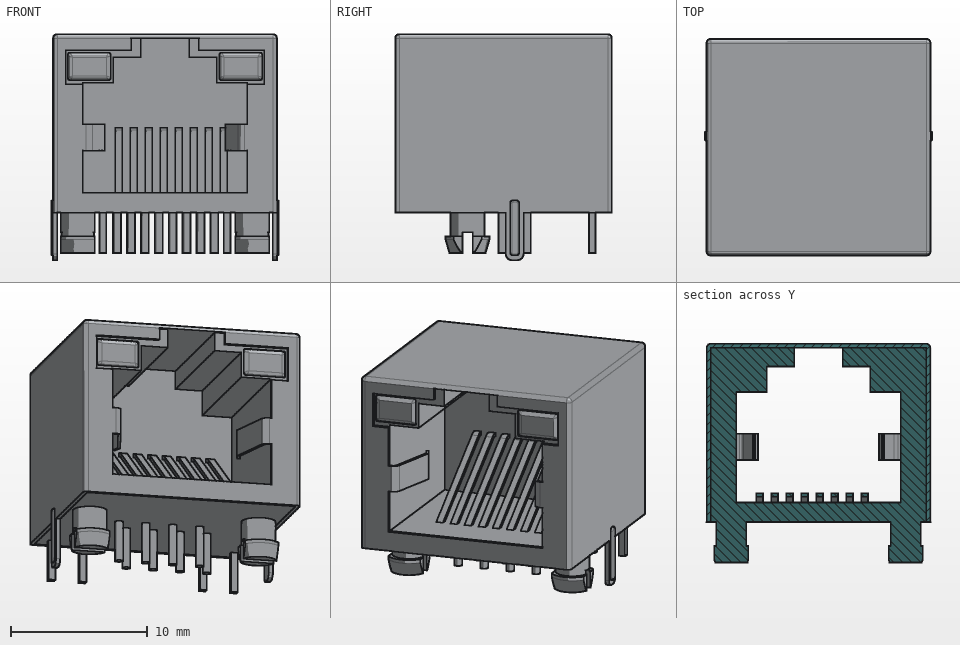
import cadquery as cq
import math


WIDTH = 16.38
DEPTH = 15.85
HEIGHT = 13.05
SHEET = 0.32
EDGE_RADIUS = 0.32

FLOOR_Z = 1.45
PORT_HALF_WIDTH = 6.01
WINDOW_HALF_WIDTH = 7.25
WINDOW_BOTTOM_Z = 9.37
WINDOW_TOP_Z = 11.87
LATCH_HALF_WIDTH = 2.48

CAVITY_DEPTH = 11.65
CAVITY_SHOULDER_Z = 9.5
CAVITY_SHOULDER_HALF_WIDTH = 3.78
CAVITY_STEP_Z = 11.37
CAVITY_STEP_HALF_WIDTH = 1.76

SPRING_BOTTOM_Z = 4.53
SPRING_TOP_Z = 6.48
SPRING_THICKNESS = 0.2
SPRING_LIP = 0.2
SPRING_BEND_RADIUS = 0.52
SPRING_ANGLE = 14.0
SPRING_TIP_ANGLE = 20.0
SPRING_LENGTH = 3.8
SPRING_TIP_LENGTH = 0.72
SPRING_FOLD_RADIUS = 0.13

TAB_WIDTH = 1.33
TAB_LENGTH = 3.5
TAB_Y = 0.82
TAB_CORNER_RADIUS = 0.5
RIB_WIDTH = 0.67
RIB_HEIGHT = 0.13
RIB_BOTTOM_Z = -3.13
RIB_TOP_Z = 0.9
RIB_CORNER_RADIUS = 0.23
RIB_ROUND = 0.12

LENS_WIDTH = 3.13
LENS_HEIGHT = 2.0
LENS_X = 5.55
LENS_Z = 10.69
LENS_PROTRUSION = 0.15
LENS_CORNER_RADIUS = 0.15
LENS_ROUND = 0.32
LENS_SEAT = 0.03

CONTACT_COUNT = 8
CONTACT_WIDTH = 0.52
CONTACT_PITCH = 1.1
CONTACT_MIDDLE_X = 0.47
CONTACT_FRONT_DEPTH = 3.63
CONTACT_TOP_Z = 6.21
CONTACT_SLOPE = 31.9
CONTACT_BEND_RADIUS = 1.0
CONTACT_THICKNESS = 0.25

PIN_LENGTH = 2.96
ROUND_PIN_DIAMETER = 0.6
ROUND_PIN_PITCH = 1.02
ROUND_PIN_MIDDLE_X = 0.05
ROUND_PIN_ROWS_Y = (-0.1, 1.7)
SQUARE_PIN_SIDE = 0.5
SQUARE_PIN_INNER_X = 4.55
SQUARE_PIN_OUTER_X = 6.9
SQUARE_PIN_Y = 6.5

PEG_DIAMETER = 2.5
PEG_X = 6.38
PEG_Y = -2.63
BARB_TOP_DIAMETER = 3.23
BARB_END_DIAMETER = 2.65
BARB_TOP_Z = -1.73
BARB_TAPER_Z = -1.96
PEG_SLOT_WIDTH = 0.73
PEG_SLOT_TOP_Z = -1.45

FRONT_Y = -DEPTH / 2
INSERT_FRONT_Y = FRONT_Y + SHEET
INSERT_TOP_Z = HEIGHT - SHEET
SPRING_MIDDLE_Z = (SPRING_BOTTOM_Z + SPRING_TOP_Z) / 2
LENS_FRONT_Y = INSERT_FRONT_Y - LENS_PROTRUSION
CAVITY_BACK_Y = FRONT_Y + CAVITY_DEPTH


def block(x_min, x_max, y_min, y_max, z_min, z_max):
    """Box between two opposite corners."""
    size = (x_max - x_min, y_max - y_min, z_max - z_min)
    return cq.Workplane("XY").box(*size, centered=False).translate((x_min, y_min, z_min))


def centred_block(half_width, y_min, y_max, z_min, z_max):
    """Box that is symmetric about X = 0."""
    return block(-half_width, half_width, y_min, y_max, z_min, z_max)


def mirrored_x(body):
    """Copy on the other side of X = 0."""
    return body.mirror("YZ")


def make_insert_envelope():
    """Space inside the shield, open towards the board."""
    return centred_block(WIDTH / 2 - SHEET, INSERT_FRONT_Y, -INSERT_FRONT_Y, 0, INSERT_TOP_Z)


def make_front_opening():
    """Port, lens windows and latch notch through the front sheet."""
    port = centred_block(PORT_HALF_WIDTH, FRONT_Y, INSERT_FRONT_Y, FLOOR_Z, WINDOW_TOP_Z)
    windows = centred_block(WINDOW_HALF_WIDTH, FRONT_Y, INSERT_FRONT_Y, WINDOW_BOTTOM_Z, WINDOW_TOP_Z)
    latch = centred_block(LATCH_HALF_WIDTH, FRONT_Y, INSERT_FRONT_Y, WINDOW_TOP_Z, INSERT_TOP_Z)
    return port.union(windows).union(latch)


def make_spring():
    """Right spring: bent back from the port edge, leaning inwards, with its tip turned outwards."""
    lean = math.radians(SPRING_ANGLE)
    tip_lean = math.radians(SPRING_TIP_ANGLE)
    inner_radius = SPRING_BEND_RADIUS - SPRING_THICKNESS
    bend_x = PORT_HALF_WIDTH - SPRING_LIP
    bend_y = FRONT_Y + SPRING_BEND_RADIUS

    def on_bend(radius, angle):
        return (bend_x - radius * math.cos(angle), bend_y - radius * math.sin(angle))

    def moved(point, length, angle):
        return (point[0] - length * math.sin(angle), point[1] + length * math.cos(angle))

    middle = (lean + math.pi / 2) / 2
    face_bend_end = on_bend(SPRING_BEND_RADIUS, lean)
    back_bend_end = on_bend(inner_radius, lean)
    fold_shift = SPRING_THICKNESS * math.tan((lean + tip_lean) / 2)
    face_fold = moved(face_bend_end, SPRING_LENGTH, lean)
    back_fold = moved(back_bend_end, SPRING_LENGTH - fold_shift, lean)
    face_tip = moved(face_fold, SPRING_TIP_LENGTH, -tip_lean)
    back_tip = moved(back_fold, SPRING_TIP_LENGTH - fold_shift, -tip_lean)
    spring = (
        cq.Workplane("XY", origin=(0, 0, SPRING_BOTTOM_Z))
        .moveTo(PORT_HALF_WIDTH, FRONT_Y)
        .lineTo(bend_x, FRONT_Y)
        .threePointArc(on_bend(SPRING_BEND_RADIUS, middle), face_bend_end)
        .lineTo(*face_fold)
        .lineTo(*face_tip)
        .lineTo(*back_tip)
        .lineTo(*back_fold)
        .lineTo(*back_bend_end)
        .threePointArc(on_bend(inner_radius, middle), (bend_x, FRONT_Y + SPRING_THICKNESS))
        .lineTo(PORT_HALF_WIDTH, FRONT_Y + SPRING_THICKNESS)
        .close()
        .extrude(SPRING_TOP_Z - SPRING_BOTTOM_Z)
    )
    face_edge = cq.selectors.NearestToPointSelector((*face_fold, SPRING_MIDDLE_Z))
    back_edge = cq.selectors.NearestToPointSelector((*back_fold, SPRING_MIDDLE_Z))
    spring = spring.edges(face_edge).fillet(SPRING_FOLD_RADIUS + SPRING_THICKNESS)
    return spring.edges(back_edge).fillet(SPRING_FOLD_RADIUS)


def make_tab():
    """Right board tab with a raised rib that starts on the shield wall."""
    outer_x = WIDTH / 2
    half_tab = TAB_WIDTH / 2
    half_rib = RIB_WIDTH / 2
    tab = block(outer_x - SHEET, outer_x, TAB_Y - half_tab, TAB_Y + half_tab, -TAB_LENGTH, 0)
    tab = tab.edges("|X and <Z").fillet(TAB_CORNER_RADIUS)
    rib = block(outer_x, outer_x + RIB_HEIGHT, TAB_Y - half_rib, TAB_Y + half_rib, RIB_BOTTOM_Z, RIB_TOP_Z)
    rib = rib.edges("|X").fillet(RIB_CORNER_RADIUS).faces(">X").edges().fillet(RIB_ROUND)
    return tab.union(rib)


def make_shield():
    shield = centred_block(WIDTH / 2, FRONT_Y, -FRONT_Y, 0, HEIGHT)
    shield = shield.edges("|Z or >Z").fillet(EDGE_RADIUS)
    shield = shield.cut(make_insert_envelope()).cut(make_front_opening())
    for part in (make_spring(), make_tab()):
        shield = shield.union(part).union(mirrored_x(part))
    return shield


def make_cavity():
    """Stepped plug cavity, narrowing upwards to the latch slot."""
    port = centred_block(PORT_HALF_WIDTH, INSERT_FRONT_Y, CAVITY_BACK_Y, FLOOR_Z, CAVITY_SHOULDER_Z)
    shoulder = centred_block(
        CAVITY_SHOULDER_HALF_WIDTH, INSERT_FRONT_Y, CAVITY_BACK_Y, CAVITY_SHOULDER_Z, CAVITY_STEP_Z
    )
    latch = centred_block(CAVITY_STEP_HALF_WIDTH, INSERT_FRONT_Y, CAVITY_BACK_Y, CAVITY_STEP_Z, INSERT_TOP_Z)
    return port.union(shoulder).union(latch)


def make_lens_block(front_y):
    """Right lens outline with rounded corners, from front_y back to the floor of its pocket."""
    lens = block(
        LENS_X - LENS_WIDTH / 2,
        LENS_X + LENS_WIDTH / 2,
        front_y,
        LENS_FRONT_Y + LENS_ROUND + LENS_SEAT,
        LENS_Z - LENS_HEIGHT / 2,
        LENS_Z + LENS_HEIGHT / 2,
    )
    return lens.edges("|Y").fillet(LENS_CORNER_RADIUS)


def make_lens_pocket():
    """Right pocket in the insert that leaves a groove around the rounded lens edge."""
    return make_lens_block(INSERT_FRONT_Y)


def make_lens():
    """Right indicator lens, standing in its pocket and proud of the insert."""
    return make_lens_block(LENS_FRONT_Y).faces("<Y").edges().fillet(LENS_ROUND)


def make_contact(x):
    """Strip that slopes up from the cavity floor and bends level to enter the back wall."""
    slope = math.radians(CONTACT_SLOPE)
    front_y = FRONT_Y + CONTACT_FRONT_DEPTH
    bend_z = CONTACT_TOP_Z - CONTACT_BEND_RADIUS
    inner_radius = CONTACT_BEND_RADIUS - CONTACT_THICKNESS
    slope_rise = bend_z + CONTACT_BEND_RADIUS * math.cos(slope) - FLOOR_Z
    bend_y = front_y + slope_rise / math.tan(slope) + CONTACT_BEND_RADIUS * math.sin(slope)

    def on_bend(radius, angle):
        return (bend_y - radius * math.sin(angle), bend_z + radius * math.cos(angle))

    return (
        cq.Workplane("YZ", origin=(x - CONTACT_WIDTH / 2, 0, 0))
        .moveTo(front_y, FLOOR_Z)
        .lineTo(*on_bend(CONTACT_BEND_RADIUS, slope))
        .threePointArc(on_bend(CONTACT_BEND_RADIUS, slope / 2), (bend_y, CONTACT_TOP_Z))
        .lineTo(CAVITY_BACK_Y, CONTACT_TOP_Z)
        .lineTo(CAVITY_BACK_Y, CONTACT_TOP_Z - CONTACT_THICKNESS)
        .lineTo(bend_y, CONTACT_TOP_Z - CONTACT_THICKNESS)
        .threePointArc(on_bend(inner_radius, slope / 2), on_bend(inner_radius, slope))
        .lineTo(front_y + CONTACT_THICKNESS / math.sin(slope), FLOOR_Z)
        .close()
        .extrude(CONTACT_WIDTH)
    )


def make_round_pin(x, y):
    return cq.Workplane("XY").center(x, y).circle(ROUND_PIN_DIAMETER / 2).extrude(-PIN_LENGTH)


def make_square_pin(x, y):
    return cq.Workplane("XY").center(x, y).rect(SQUARE_PIN_SIDE, SQUARE_PIN_SIDE).extrude(-PIN_LENGTH)


def make_peg():
    """Right snap peg: a turned profile with flat sides and a slot along X."""
    peg = (
        cq.Workplane("XZ")
        .lineTo(PEG_DIAMETER / 2, 0)
        .lineTo(PEG_DIAMETER / 2, BARB_TOP_Z)
        .lineTo(BARB_TOP_DIAMETER / 2, BARB_TOP_Z)
        .lineTo(BARB_TOP_DIAMETER / 2, BARB_TAPER_Z)
        .lineTo(BARB_END_DIAMETER / 2, -PIN_LENGTH)
        .lineTo(0, -PIN_LENGTH)
        .close()
        .revolve(360, (0, 0, 0), (0, 1, 0))
    )
    flats = centred_block(PEG_DIAMETER / 2, -BARB_TOP_DIAMETER, BARB_TOP_DIAMETER, -PIN_LENGTH, 0)
    slot = centred_block(
        BARB_TOP_DIAMETER, -PEG_SLOT_WIDTH / 2, PEG_SLOT_WIDTH / 2, -PIN_LENGTH, PEG_SLOT_TOP_Z
    )
    return peg.intersect(flats).cut(slot).translate((PEG_X, PEG_Y, 0))


def make_insert():
    lens_pocket = make_lens_pocket()
    insert = make_insert_envelope().cut(make_cavity()).cut(lens_pocket).cut(mirrored_x(lens_pocket))
    right_parts = [make_lens(), make_peg()]
    for x in (SQUARE_PIN_INNER_X, SQUARE_PIN_OUTER_X):
        right_parts.append(make_square_pin(x, SQUARE_PIN_Y))
    for part in right_parts:
        insert = insert.union(part).union(mirrored_x(part))
    for i in range(CONTACT_COUNT):
        place = i - (CONTACT_COUNT - 1) / 2
        insert = insert.union(make_contact(CONTACT_MIDDLE_X + place * CONTACT_PITCH))
        row_y = ROUND_PIN_ROWS_Y[i % len(ROUND_PIN_ROWS_Y)]
        insert = insert.union(make_round_pin(ROUND_PIN_MIDDLE_X + place * ROUND_PIN_PITCH, row_y))
    return insert


shield = make_shield()
insert = make_insert()

result = cq.Compound.makeCompound([shield.val(), insert.val()])